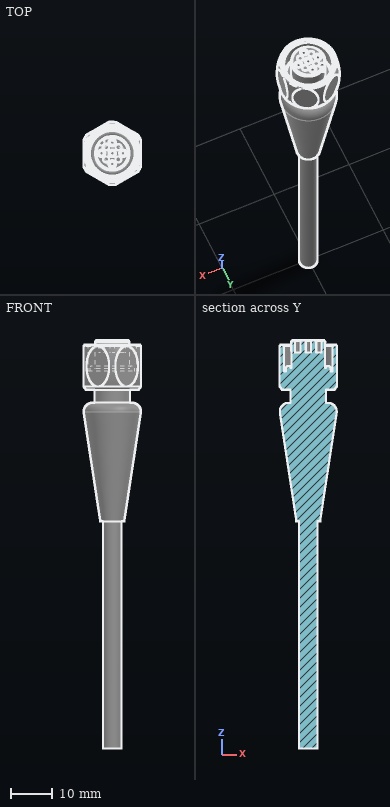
import cadquery as cq
import math

total_height = 99.2
cable_dia = 4.6

cone_bottom_z = 55.2
cone_bottom_dia = 5.9
cone_top_z = 81.7
body_dia = 14.0
shoulder_z = 84.0
shoulder_radius = shoulder_z - cone_top_z
neck_dia = 8.7

nut_bottom_z = 87.1
nut_top_z = 98.1
nut_flats = 14.0
nut_barrel_dia = 15.4
nut_band_bottom_z = 87.9
nut_band_top_z = 97.7
bottom_chamfer_width = 0.6
top_chamfer_width = 0.3
bore_mouth_dia = 12.5
bore_dia = 11.7
bore_depth = 6.4

seal_inner_dia = 8.3
seal_outer_dia = 10.9

insert_dia = 8.3
insert_edge_width = 0.3
insert_edge_height = 0.5
contact_dia = 1.2
contact_mouth_dia = 1.8
contact_depth = 3.0
contact_circle_radius = 2.6
recess_dia = 1.5
recess_depth = 0.2
recess_circle_radius = 2.1
key_dia = 1.5
key_circle_radius = 3.7
key_depth = 2.0
key_angle = 135

bore_floor_z = nut_top_z - bore_depth


def polar_points(radius, start_angle, count):
    angles = [math.radians(start_angle + i * 360 / count) for i in range(count)]
    return [(radius * math.cos(a), radius * math.sin(a)) for a in angles]


def make_stem():
    """Cable, tapered strain relief with a rounded shoulder, and neck."""
    neck_radius = neck_dia / 2
    body_radius = body_dia / 2
    arc_mid = shoulder_radius * math.sqrt(0.5)
    profile = (
        cq.Workplane("XZ")
        .moveTo(0, 0)
        .lineTo(cable_dia / 2, 0)
        .lineTo(cable_dia / 2, cone_bottom_z)
        .lineTo(cone_bottom_dia / 2, cone_bottom_z)
        .lineTo(body_radius, cone_top_z)
        .threePointArc(
            (body_radius - shoulder_radius + arc_mid, cone_top_z + arc_mid),
            (body_radius - shoulder_radius, shoulder_z),
        )
        .lineTo(neck_radius, shoulder_z)
        .lineTo(neck_radius, bore_floor_z)
        .lineTo(0, bore_floor_z)
        .close()
    )
    return profile.revolve(360, (0, 0, 0), (0, 1, 0))


def make_nut():
    """Hexagon trimmed by a barrel, bored from the top."""
    edge_radius = nut_flats / 2
    band_mid_z = (nut_band_bottom_z + nut_band_top_z) / 2
    barrel = (
        cq.Workplane("XZ")
        .moveTo(0, nut_bottom_z)
        .lineTo(edge_radius - bottom_chamfer_width, nut_bottom_z)
        .lineTo(edge_radius, nut_band_bottom_z)
        .threePointArc((nut_barrel_dia / 2, band_mid_z), (edge_radius, nut_band_top_z))
        .lineTo(edge_radius - top_chamfer_width, nut_top_z)
        .lineTo(0, nut_top_z)
        .close()
        .revolve(360, (0, 0, 0), (0, 1, 0))
    )
    hexagon = (
        cq.Workplane("XY")
        .workplane(offset=nut_bottom_z)
        .polygon(6, nut_flats, circumscribed=True)
        .extrude(nut_top_z - nut_bottom_z)
    )
    mouth_depth = (bore_mouth_dia - bore_dia) / 2
    bore = (
        cq.Workplane("XZ")
        .moveTo(0, bore_floor_z)
        .lineTo(bore_dia / 2, bore_floor_z)
        .lineTo(bore_dia / 2, nut_top_z - mouth_depth)
        .lineTo(bore_mouth_dia / 2, nut_top_z)
        .lineTo(0, nut_top_z)
        .close()
        .revolve(360, (0, 0, 0), (0, 1, 0))
    )
    return barrel.intersect(hexagon).cut(bore)


def make_seal():
    """Ring with a half-round top, fitted around the insert."""
    seal_radius = (seal_outer_dia - seal_inner_dia) / 4
    centre_z = bore_floor_z + seal_radius
    return (
        cq.Workplane("XZ")
        .moveTo(seal_inner_dia / 2, bore_floor_z)
        .lineTo(seal_outer_dia / 2, bore_floor_z)
        .lineTo(seal_outer_dia / 2, centre_z)
        .threePointArc(
            (seal_inner_dia / 2 + seal_radius, centre_z + seal_radius),
            (seal_inner_dia / 2, centre_z),
        )
        .close()
        .revolve(360, (0, 0, 0), (0, 1, 0))
    )


def make_insert():
    """Contact carrier with five countersunk contact holes, four recesses and a key groove."""
    insert = (
        cq.Workplane("XZ")
        .moveTo(0, bore_floor_z)
        .lineTo(insert_dia / 2, bore_floor_z)
        .lineTo(insert_dia / 2, total_height - insert_edge_height)
        .lineTo(insert_dia / 2 - insert_edge_width, total_height)
        .lineTo(0, total_height)
        .close()
        .revolve(360, (0, 0, 0), (0, 1, 0))
    )

    def drill(body, points, diameter, depth):
        tool = (
            cq.Workplane("XY")
            .workplane(offset=total_height - depth)
            .pushPoints(points)
            .circle(diameter / 2)
            .extrude(depth)
        )
        return body.cut(tool)

    contacts = [(0, 0)] + polar_points(contact_circle_radius, 0, 4)
    insert = drill(insert, contacts, contact_dia, contact_depth)
    mouth_depth = (contact_mouth_dia - contact_dia) / 2
    for x, y in contacts:
        mouth = cq.Solid.makeCone(
            contact_dia / 2, contact_mouth_dia / 2, mouth_depth,
            pnt=cq.Vector(x, y, total_height - mouth_depth),
        )
        insert = insert.cut(cq.Workplane(obj=mouth))
    insert = drill(insert, polar_points(recess_circle_radius, 45, 4), recess_dia, recess_depth)
    return drill(insert, polar_points(key_circle_radius, key_angle, 1), key_dia, key_depth)


result = make_stem().union(make_nut()).union(make_seal()).union(make_insert())